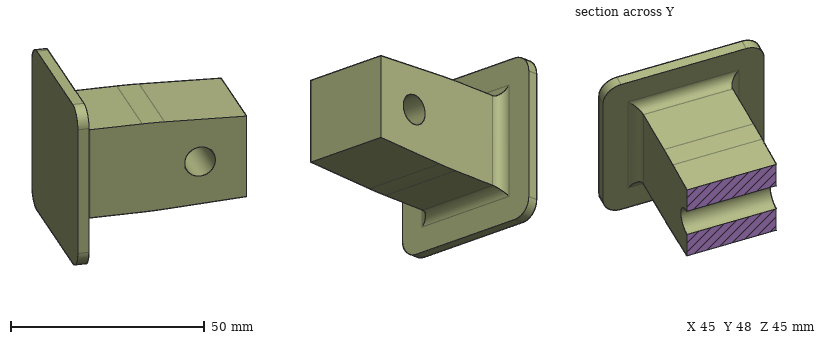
import cadquery as cq
import math

plate_size = 45.0
plate_thickness = 3.0
plate_corner_radius = 5.0

post_size = 25.0
post_end_y = 48.0
root_fillet_radius = 3.0
bend_start_y = 20.0
bend_end_y = 26.0
taper_angle = math.radians(2.5)

hole_diameter = 8.2
hole_y = 35.5


def make_plate():
    plate = cq.Workplane("XY").box(plate_size, plate_thickness, plate_size, centered=(True, False, True))
    return plate.edges("|Y").fillet(plate_corner_radius)


def make_post():
    half = post_size / 2
    bend_radius = (bend_end_y - bend_start_y) / math.sin(taper_angle)
    bend_mid_y = bend_start_y + bend_radius * math.sin(taper_angle / 2)
    bend_mid_z = half - bend_radius * (1 - math.cos(taper_angle / 2))
    bend_end_z = half - bend_radius * (1 - math.cos(taper_angle))
    end_z = bend_end_z - (post_end_y - bend_end_y) * math.tan(taper_angle)

    profile = (
        cq.Workplane("YZ")
        .moveTo(plate_thickness, -half)
        .lineTo(plate_thickness, half)
        .lineTo(bend_start_y, half)
        .threePointArc((bend_mid_y, bend_mid_z), (bend_end_y, bend_end_z))
        .lineTo(post_end_y, end_z)
        .lineTo(post_end_y, -end_z)
        .lineTo(bend_end_y, -bend_end_z)
        .threePointArc((bend_mid_y, -bend_mid_z), (bend_start_y, -half))
        .close()
    )
    return profile.extrude(half, both=True)


def fillet_root(body):
    half = post_size / 2
    margin = root_fillet_radius / 2
    root_box = cq.selectors.BoxSelector(
        (-half - margin, plate_thickness - margin, -half - margin),
        (half + margin, plate_thickness + margin, half + margin),
        boundingbox=True,
    )
    return body.edges(root_box).fillet(root_fillet_radius)


def make_hole():
    hole = cq.Workplane("YZ").center(hole_y, 0).circle(hole_diameter / 2)
    return hole.extrude(post_size, both=True)


result = fillet_root(make_plate().union(make_post())).cut(make_hole())